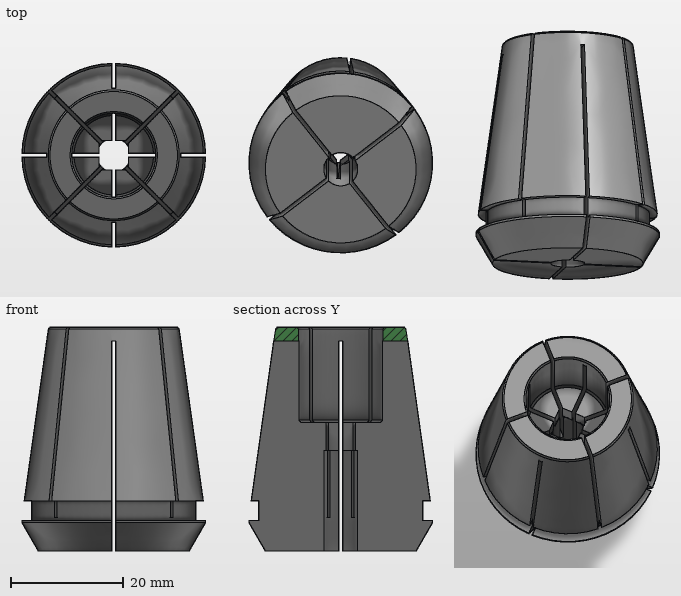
import cadquery as cq
import math

total_height = 40.0
flange_radius = 16.4
nose_angle = 30.0
nose_height = 5.1
flange_top = 5.5
groove_radius = 14.65
cone_bottom = 9.0
cone_base_radius = 16.0
cone_angle = 8.0
rim_chamfer = 0.3

clamping_radius = 3.03
clamping_depth = 18.0
square_side = 5.25
relief_floor = 23.0
relief_radius = 7.5
mouth_chamfer = 0.3
floor_bevel = 0.4

slit_width = 0.68
nose_slit_top = 37.5
rear_slit_floor = 6.0
slit_count = 4
blade_length = 2 * flange_radius + 5.0


def make_body():
    """Turned outside: conical nose, flange, groove and long clamping cone."""
    nose_radius = flange_radius - nose_height * math.tan(math.radians(nose_angle))
    cone_top = total_height - rim_chamfer
    cone_top_radius = cone_base_radius - (cone_top - cone_bottom) * math.tan(math.radians(cone_angle))
    profile = [
        (0, 0),
        (nose_radius, 0),
        (flange_radius, nose_height),
        (flange_radius, flange_top),
        (groove_radius, flange_top),
        (groove_radius, cone_bottom),
        (cone_base_radius, cone_bottom),
        (cone_top_radius, cone_top),
        (cone_top_radius - rim_chamfer, total_height),
        (0, total_height),
    ]
    return cq.Workplane("XZ").polyline(profile).close().revolve(360, (0, 0), (0, 1))


def make_clamping_hole():
    return cq.Workplane("XY").circle(clamping_radius).extrude(clamping_depth)


def make_square_hole():
    return (
        cq.Workplane("XY", origin=(0, 0, clamping_depth))
        .rect(square_side, square_side)
        .extrude(relief_floor - clamping_depth)
    )


def make_relief_bore():
    """Wide bore from the rear, flared at the mouth and bevelled at the floor."""
    profile = [
        (0, relief_floor),
        (relief_radius - floor_bevel, relief_floor),
        (relief_radius, relief_floor + floor_bevel),
        (relief_radius, total_height - mouth_chamfer),
        (relief_radius + mouth_chamfer, total_height),
        (0, total_height),
    ]
    return cq.Workplane("XZ").polyline(profile).close().revolve(360, (0, 0), (0, 1))


def make_slits(bottom, top, start_angle):
    """Evenly spaced radial slits, each pair of opposite slits cut as one long blade."""
    blade = cq.Workplane("XY", origin=(0, 0, bottom)).box(
        blade_length, slit_width, top - bottom, centered=(True, True, False)
    )
    slits = blade.rotate((0, 0, 0), (0, 0, 1), start_angle)
    spacing = 360 / slit_count
    for index in range(1, slit_count // 2):
        slits = slits.union(blade.rotate((0, 0, 0), (0, 0, 1), start_angle + index * spacing))
    return slits


result = (
    make_body()
    .cut(make_clamping_hole())
    .cut(make_square_hole())
    .cut(make_relief_bore())
    .cut(make_slits(0, nose_slit_top, 0))
    .cut(make_slits(rear_slit_floor, total_height, 180 / slit_count))
)